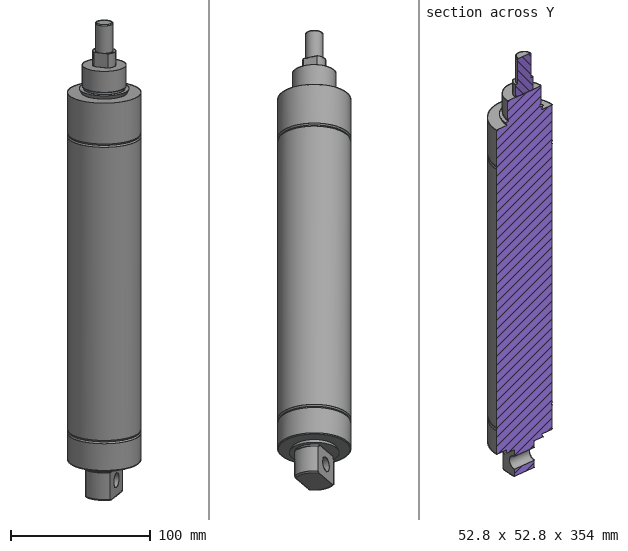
import cadquery as cq

TOTAL_HEIGHT = 354.0
BARREL_BOTTOM = 25.5
BARREL_TOP = 301.5
BOSS_TOP = 322.2
STUD_BOTTOM = 333.0

BARREL_DIAMETER = 52.8
BARREL_CHAMFER = 0.7
GROOVE_WIDTH = 2.5
GROOVE_DEPTH = 0.7
GROOVE_HEIGHTS = (47.5, 269.8)

BOSS_DIAMETER = 31.5
COLLAR_DIAMETER = 35.8
COLLAR_ROOT_DIAMETER = 33.0
COLLAR_HEIGHT = 3.0
NECK_DIAMETER = 29.7
NECK_HEIGHT = 1.8

TANG_THICKNESS = 18.8
TANG_CHAMFER = 1.0
PIVOT_HOLE_DIAMETER = 10.5
PIVOT_HOLE_HEIGHT = 11.7

SHANK_DIAMETER = 16.5
ACROSS_FLATS = 12.7
STUD_DIAMETER = 12.7
STUD_CHAMFER = 0.7


def disc(diameter, bottom, top):
    """Solid round bar on the Z axis between two heights."""
    return cq.Workplane("XY").workplane(offset=bottom).circle(diameter / 2).extrude(top - bottom)


def make_groove(middle):
    """Ring of V section to cut from the barrel surface, centred on one height."""
    surface = BARREL_DIAMETER / 2
    section = [
        (surface, middle - GROOVE_WIDTH / 2),
        (surface - GROOVE_DEPTH, middle),
        (surface, middle + GROOVE_WIDTH / 2),
    ]
    return cq.Workplane("XZ").polyline(section).close().revolve(360, (0, 0, 0), (0, 1, 0))


def make_barrel():
    barrel = disc(BARREL_DIAMETER, BARREL_BOTTOM, BARREL_TOP).faces("<Z").chamfer(BARREL_CHAMFER)
    for middle in GROOVE_HEIGHTS:
        barrel = barrel.cut(make_groove(middle))
    return barrel


def make_end_boss(barrel_face, boss_end):
    """Revolved boss running from a barrel end face outward to boss_end."""
    outward = 1 if boss_end > barrel_face else -1
    collar_end = barrel_face + outward * COLLAR_HEIGHT
    neck_end = collar_end + outward * NECK_HEIGHT
    profile = [
        (0, barrel_face),
        (COLLAR_ROOT_DIAMETER / 2, barrel_face),
        (COLLAR_DIAMETER / 2, collar_end),
        (NECK_DIAMETER / 2, collar_end),
        (NECK_DIAMETER / 2, neck_end),
        (BOSS_DIAMETER / 2, neck_end),
        (BOSS_DIAMETER / 2, boss_end),
        (0, boss_end),
    ]
    return cq.Workplane("XZ").polyline(profile).close().revolve(360, (0, 0, 0), (0, 1, 0))


def make_tang_boss():
    boss = make_end_boss(BARREL_BOTTOM, 0).faces("<Z").chamfer(TANG_CHAMFER)
    tang_top = BARREL_BOTTOM - COLLAR_HEIGHT
    tang_slab = cq.Workplane("XY").box(
        TANG_THICKNESS, BARREL_DIAMETER, tang_top, centered=(True, True, False)
    )
    collar_zone = disc(BARREL_DIAMETER, tang_top, BARREL_BOTTOM)
    boss = boss.intersect(tang_slab.union(collar_zone))
    pivot_hole = (
        cq.Workplane("YZ")
        .center(0, PIVOT_HOLE_HEIGHT)
        .circle(PIVOT_HOLE_DIAMETER / 2)
        .extrude(TANG_THICKNESS, both=True)
    )
    return boss.cut(pivot_hole)


def make_cylinder_body():
    upper_boss = make_end_boss(BARREL_TOP, BOSS_TOP)
    return make_barrel().union(upper_boss).union(make_tang_boss())


def make_piston_rod():
    flats = (
        cq.Workplane("XY")
        .workplane(offset=BOSS_TOP)
        .rect(SHANK_DIAMETER, ACROSS_FLATS)
        .extrude(STUD_BOTTOM - BOSS_TOP)
    )
    shank = disc(SHANK_DIAMETER, BOSS_TOP, STUD_BOTTOM).intersect(flats)
    stud = disc(STUD_DIAMETER, STUD_BOTTOM, TOTAL_HEIGHT).faces(">Z").chamfer(STUD_CHAMFER)
    return shank.union(stud)


cylinder_body = make_cylinder_body()
piston_rod = make_piston_rod()

result = cq.Compound.makeCompound([cylinder_body.val(), piston_rod.val()])